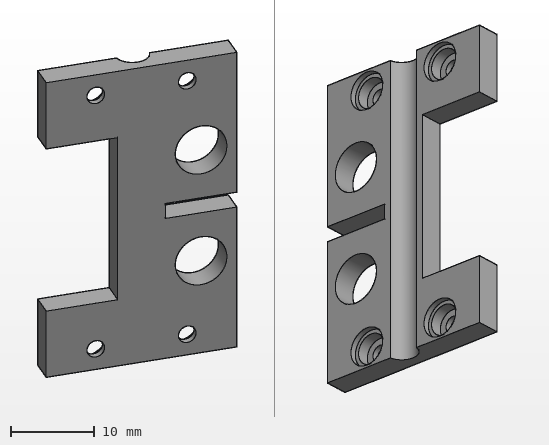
import cadquery as cq

thickness = 3.25
width = 24
height = 40
front_x = -thickness / 2

web_half_width = 3.0
slot_height = 2
notch_height = 22

groove_radius = 2.1
groove_depth = 1.75

screw_diameter = 2.2
bore_diameter = 4
bore_depth = 2.4
recess_diameter = 5.0
recess_depth = 0.8
screw_y = 5.75
screw_edge_distance = 2.8
screw_z = height / 2 - screw_edge_distance

window_diameter = 6.5
window_y = (width / 2 + web_half_width) / 2
window_z = 7.5


def side_cut(side, cut_height):
    """Rectangular opening from one long edge (side = +1 or -1) to the web."""
    cut_width = width / 2 - web_half_width
    centre_y = side * (web_half_width + cut_width / 2)
    return cq.Workplane("XY").box(thickness, cut_width, cut_height).translate((0, centre_y, 0))


def bores(points, diameter, depth):
    """Cylinders sunk into the grooved face at the given (y, z) points."""
    return cq.Workplane("YZ", origin=(front_x, 0, 0)).pushPoints(points).circle(diameter / 2).extrude(depth)


plate = cq.Workplane("XY").box(thickness, width, height)
plate = plate.cut(side_cut(1, slot_height))
plate = plate.cut(side_cut(-1, notch_height))

groove_axis_x = front_x + groove_depth - groove_radius
groove = cq.Workplane("XY").center(groove_axis_x, 0).circle(groove_radius).extrude(height / 2, both=True)
plate = plate.cut(groove)

screw_points = [(y, z) for y in (-screw_y, screw_y) for z in (-screw_z, screw_z)]
plate = plate.cut(bores(screw_points, screw_diameter, thickness))
plate = plate.cut(bores(screw_points, bore_diameter, bore_depth))
plate = plate.cut(bores(screw_points, recess_diameter, recess_depth))

window_points = [(window_y, -window_z), (window_y, window_z)]
plate = plate.cut(bores(window_points, window_diameter, thickness))

result = plate